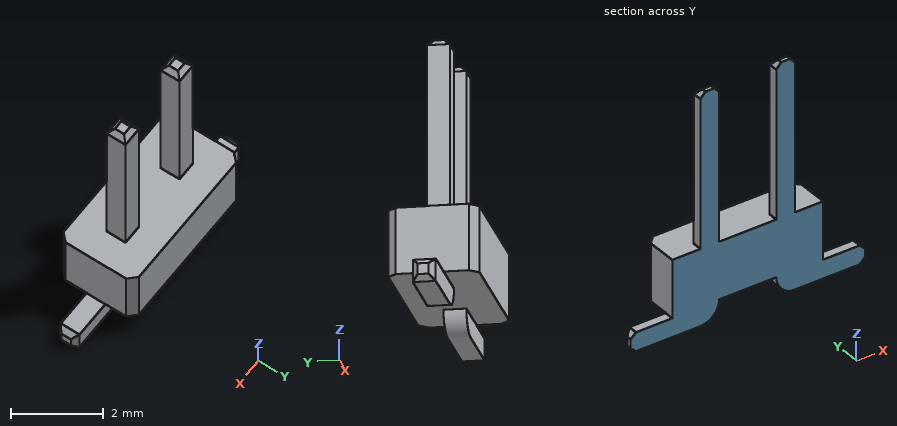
import cadquery as cq

overall_length = 6.2
overall_height = 6.0

pitch = 2.0
body_length = 4.0
body_width = pitch
body_height = 1.5
body_corner_chamfer = 0.2

pin_size = 0.5
bend_radius = pin_size
tip_length = 0.14
tip_inset = 0.13

body_bottom = pin_size


def make_body():
    """Block with chamfered vertical corners."""
    block = cq.Workplane("XY").workplane(offset=body_bottom).rect(body_length, body_width)
    return block.extrude(body_height).edges("|Z").chamfer(body_corner_chamfer)


def make_tip(base_plane):
    """Short square taper pointing along the normal of its base plane."""
    flat_size = pin_size - 2 * tip_inset
    base = cq.Workplane(base_plane).rect(pin_size, pin_size)
    return base.workplane(offset=tip_length).rect(flat_size, flat_size).loft(ruled=True)


def make_right_pin():
    """L-shaped pin: upright post, rounded outer bend and foot pointing to +X."""
    post_x = pitch / 2
    inner_x = post_x - pin_size / 2
    outer_x = post_x + pin_size / 2
    foot_end = overall_length / 2 - tip_length
    post_top = overall_height - tip_length
    diagonal = bend_radius * (1 - 0.5 ** 0.5)

    bar = (
        cq.Workplane("XZ")
        .moveTo(inner_x, post_top)
        .lineTo(inner_x, bend_radius)
        .threePointArc((inner_x + diagonal, diagonal), (inner_x + bend_radius, 0))
        .lineTo(foot_end, 0)
        .lineTo(foot_end, pin_size)
        .lineTo(outer_x, pin_size)
        .lineTo(outer_x, post_top)
        .close()
        .extrude(pin_size / 2, both=True)
    )
    post_tip = make_tip(cq.Plane((post_x, 0, post_top), xDir=(1, 0, 0), normal=(0, 0, 1)))
    foot_tip = make_tip(cq.Plane((foot_end, 0, pin_size / 2), xDir=(0, 1, 0), normal=(1, 0, 0)))
    return bar.union(post_tip).union(foot_tip)


right_pin = make_right_pin()
left_pin = right_pin.mirror("YZ")
result = make_body().union(right_pin).union(left_pin)